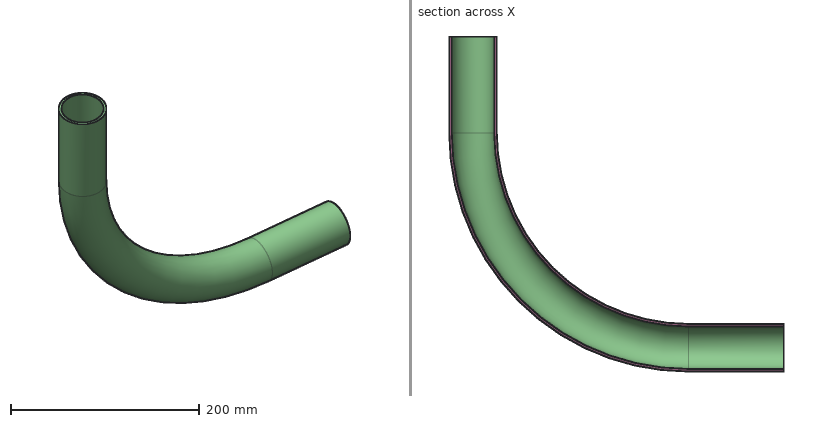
import cadquery as cq
import math

overall_size = 355.5
outer_diameter = 51.0
inner_diameter = 44.8
straight_length = 101.7

bend_radius = overall_size - straight_length - outer_diameter / 2
centerline_reach = bend_radius + straight_length
bend_middle = bend_radius * (1 - math.cos(math.radians(45)))

centerline = (
    cq.Workplane("YZ")
    .moveTo(0, centerline_reach)
    .lineTo(0, bend_radius)
    .threePointArc((bend_middle, bend_middle), (bend_radius, 0))
    .lineTo(centerline_reach, 0)
)

tube_section = (
    cq.Workplane("XY")
    .workplane(offset=centerline_reach)
    .circle(outer_diameter / 2)
    .circle(inner_diameter / 2)
)

result = tube_section.sweep(centerline)